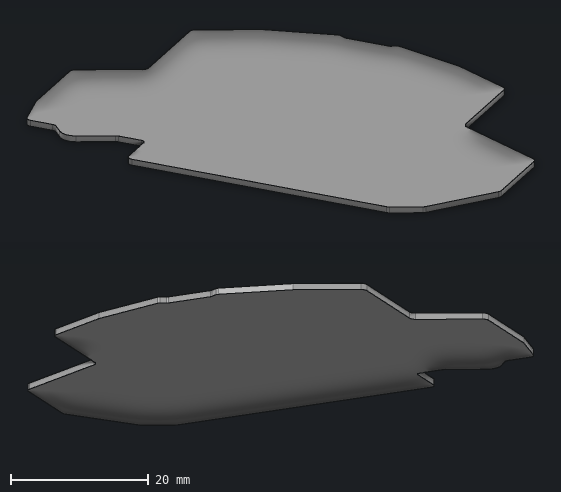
import cadquery as cq
import math

length = 75.1
thickness = 1.0

slope = math.tan(math.radians(25))

crown_center = 35.2
crown_half_width = 25.2
crown_side_top = 45.8
facet_half_width = 15.7
facet_height = crown_side_top + slope * (crown_half_width - facet_half_width)
peak_half_width = 4.7
peak_height = 53.1
notch_half_width = 3.5
notch_height = 52.5
crown_left = crown_center - crown_half_width
crown_right = crown_center + crown_half_width

left_shoulder_height = 25.5
right_shoulder_height = 24.3
left_inner_height = left_shoulder_height + slope * crown_left
right_inner_height = right_shoulder_height + slope * (length - crown_right)

base_left = 20.4
base_right = 62.5
bevel_x = 67.3
bevel_y = 2.25
right_side_bottom = 11.95

step_height = 6.75
tongue_right = 15.9
tongue_tip_x = 8.8
tongue_tip_y = step_height - slope * (tongue_right - tongue_tip_x)
tongue_left = 6.1
toe_height = 6.5
toe_x = 1.35
left_side_bottom = 13.1

sharp = 0
small_radius = 0.6
corner_radius = 1.0
tongue_radius = 2.5


def crown_corners(side):
    """Corners of one crown half from its side up to the notch; side is -1 (left) or 1 (right)."""
    return [
        (crown_center + side * crown_half_width, crown_side_top, corner_radius),
        (crown_center + side * facet_half_width, facet_height, sharp),
        (crown_center + side * peak_half_width, peak_height, small_radius),
        (crown_center + side * notch_half_width, notch_height, small_radius),
    ]


base_corners = [
    (base_left, 0, corner_radius),
    (base_right, 0, corner_radius),
    (bevel_x, bevel_y, corner_radius),
    (length, right_side_bottom, corner_radius),
    (length, right_shoulder_height, corner_radius),
    (crown_right, right_inner_height, corner_radius),
]
left_corners = [
    (crown_left, left_inner_height, corner_radius),
    (0, left_shoulder_height, corner_radius),
    (0, left_side_bottom, sharp),
    (toe_x, toe_height, corner_radius),
    (tongue_left, toe_height, corner_radius),
    (tongue_tip_x, tongue_tip_y, tongue_radius),
    (tongue_right, step_height, corner_radius),
    (base_left, step_height, small_radius),
]
corners = base_corners + crown_corners(1) + crown_corners(-1)[::-1] + left_corners

result = cq.Workplane("XY").polyline([(x, y) for x, y, _ in corners]).close().extrude(thickness)
for x, y, radius in corners:
    if radius > sharp:
        corner_edge = cq.selectors.NearestToPointSelector((x, y, thickness / 2))
        result = result.edges("|Z").edges(corner_edge).fillet(radius)